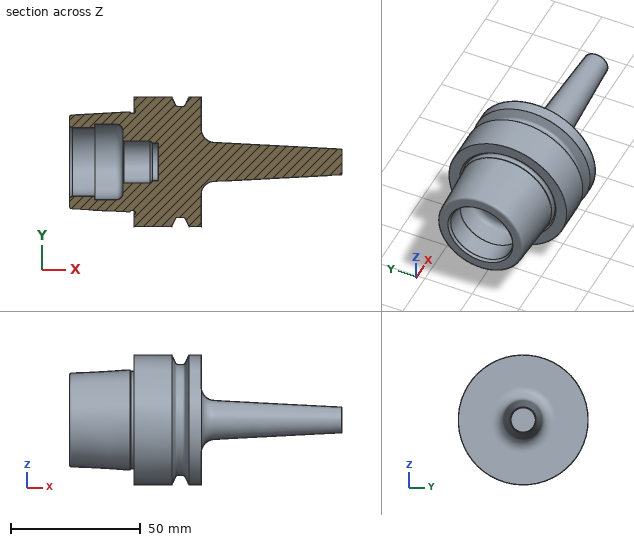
import cadquery as cq
import math


total_length = 104.9
small_round = 1.0

taper_length = 22.7
taper_front_radius = 18.0
taper_rear_radius = 19.3
taper_land = 0.6
neck_radius = 18.8
neck_chamfer = 0.3
neck_start = taper_length + taper_land + neck_chamfer

flange_start = 24.8
flange_width = 26.0
flange_radius = 50.0 / 2
relief_depth = 0.68
relief_outer_radius = 20.5
relief_round = 0.9
flange_end = flange_start + flange_width
relief_floor = flange_start + relief_depth
relief_floor_radius = relief_outer_radius - relief_depth

groove_center = 42.7
groove_half_width = 6.6 / 2
groove_floor_half_width = 1.6
groove_floor_radius = 21.4

nose_half_angle = math.radians(3)
nose_tip_radius = 10.0 / 2
nose_round = 5.0
tip_chamfer = 0.3
nose_root_radius = nose_tip_radius + (total_length - flange_end) * math.tan(nose_half_angle)
tip_shoulder_radius = nose_tip_radius + tip_chamfer * math.tan(nose_half_angle)

lip_radius = 26.3 / 2
entry_chamfer = 0.6
entry_chamfer_length = 1.2
lip_end = 9.8
chamber_radius = 14.5
chamber_round = 2.5
chamber_floor = 20.6

thread_radius = 8.1
thread_chamfer = 0.37
thread_depth = 10.5
pilot_radius = 7.1
pilot_depth = 2.1
thread_end = chamber_floor + thread_depth
pilot_start = thread_end + (thread_radius - pilot_radius)


def rounded_corner(before, corner, after):
    """Start, middle and end of the arc that rounds one outline corner."""
    x, r, rounding = corner
    corner_point = cq.Vector(x, r)
    to_before = (cq.Vector(*before[:2]) - corner_point).normalized()
    to_after = (cq.Vector(*after[:2]) - corner_point).normalized()
    half_angle = to_before.getAngle(to_after) / 2
    setback = rounding / math.tan(half_angle)
    bisector = (to_before + to_after).normalized()
    middle = corner_point + bisector * (rounding / math.sin(half_angle) - rounding)
    return corner_point + to_before * setback, middle, corner_point + to_after * setback


def turned(corners):
    """Revolve an outline, which starts and ends on the X axis, into a solid."""
    outline = cq.Workplane("XY").moveTo(*corners[0][:2])
    for before, corner, after in zip(corners, corners[1:], corners[2:]):
        if corner[2]:
            start, middle, end = rounded_corner(before, corner, after)
            outline = outline.lineTo(start.x, start.y).threePointArc((middle.x, middle.y), (end.x, end.y))
        else:
            outline = outline.lineTo(*corner[:2])
    return outline.lineTo(*corners[-1][:2]).close().revolve(360, (0, 0, 0), (1, 0, 0))


body = turned([
    (0, 0, 0),
    (0, taper_front_radius, small_round),
    (taper_length, taper_rear_radius, 0),
    (taper_length + taper_land, taper_rear_radius, 0),
    (neck_start, neck_radius, 0),
    (relief_floor, neck_radius, relief_round),
    (relief_floor, relief_floor_radius, 0),
    (flange_start, relief_outer_radius, 0),
    (flange_start, flange_radius, 0),
    (groove_center - groove_half_width, flange_radius, 0),
    (groove_center - groove_floor_half_width, groove_floor_radius, small_round),
    (groove_center + groove_floor_half_width, groove_floor_radius, small_round),
    (groove_center + groove_half_width, flange_radius, 0),
    (flange_end, flange_radius, 0),
    (flange_end, nose_root_radius, nose_round),
    (total_length - tip_chamfer, tip_shoulder_radius, 0),
    (total_length, nose_tip_radius - tip_chamfer, 0),
    (total_length, 0, 0),
])

bore = turned([
    (0, 0, 0),
    (0, lip_radius + entry_chamfer, 0),
    (entry_chamfer_length, lip_radius, 0),
    (lip_end, lip_radius, 0),
    (lip_end, chamber_radius, 0),
    (chamber_floor, chamber_radius, chamber_round),
    (chamber_floor, thread_radius + thread_chamfer, 0),
    (chamber_floor + thread_chamfer, thread_radius, 0),
    (thread_end, thread_radius, 0),
    (pilot_start, pilot_radius, 0),
    (pilot_start + pilot_depth, pilot_radius, 0),
    (pilot_start + pilot_depth, 0, 0),
])

result = body.cut(bore)